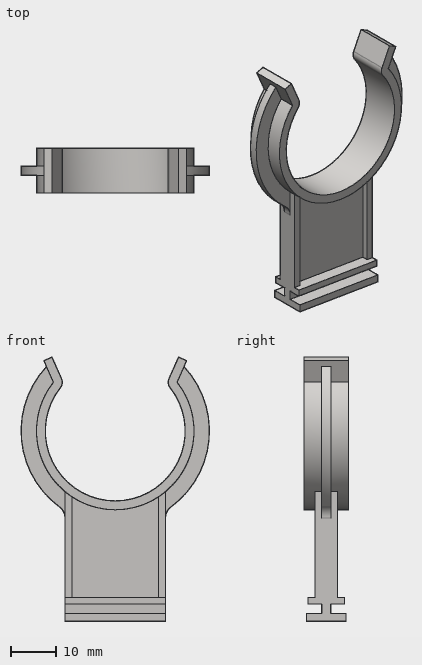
import cadquery as cq
import math

total_height = 58.7
overall_width = 41.85

ring_center_z = 42.25
ring_width = 10.0
ring_outer_radius = 17.5
wall = 2.0
ring_inner_radius = ring_outer_radius - wall

lip_root_x = 13.75
lip_flare = math.radians(24)
lip_root_z = ring_center_z + math.sqrt(ring_outer_radius**2 - lip_root_x**2)

rib_radius = overall_width / 2
rib_thickness = 2.05
rib_fillet = 3.0

stem_width = 22.35
stem_depth = 5.05
flange_thickness = 1.5

foot_depth = 8.85
foot_top = 1.75
collar_depth = 8.15
collar_bottom = 3.8
collar_top = 5.35


def block(width, depth, bottom, top, center_x=0):
    """Box centred on Y, spanning the given heights."""
    middle = (bottom + top) / 2
    return cq.Workplane("XY").box(width, depth, top - bottom).translate((center_x, 0, middle))


def profile(thickness):
    """XZ sketch plane set so that an extrusion is centred on Y."""
    return cq.Workplane("XZ", origin=(0, thickness / 2, 0))


def disc(radius, thickness):
    return profile(thickness).center(0, ring_center_z).circle(radius).extrude(thickness)


def mouth_wedge():
    """Opening bounded below by the ring centre and at the sides by the lips' outer faces."""
    reach_z = 2 * total_height
    reach_x = lip_root_x + (reach_z - lip_root_z) * math.tan(lip_flare)
    points = [
        (0, ring_center_z),
        (lip_root_x, lip_root_z),
        (reach_x, reach_z),
        (-reach_x, reach_z),
        (-lip_root_x, lip_root_z),
    ]
    return profile(ring_width).polyline(points).close().extrude(ring_width)


def right_lip():
    """Flared lip with a corner rounded about its root on the ring's outer face."""
    across_x = -wall * math.cos(lip_flare)
    across_z = wall * math.sin(lip_flare)
    tip_z = total_height - across_z
    tip_x = lip_root_x + (tip_z - lip_root_z) * math.tan(lip_flare)
    inner_scale = ring_inner_radius / ring_outer_radius
    ring_inner_corner = (
        lip_root_x * inner_scale,
        ring_center_z + (lip_root_z - ring_center_z) * inner_scale,
    )
    return (
        profile(ring_width)
        .moveTo(lip_root_x, lip_root_z)
        .lineTo(tip_x, tip_z)
        .lineTo(tip_x + across_x, total_height)
        .lineTo(lip_root_x + across_x, lip_root_z + across_z)
        .threePointArc((lip_root_x - wall, lip_root_z), ring_inner_corner)
        .close()
        .extrude(ring_width)
    )


flange_top = ring_center_z - math.sqrt(ring_outer_radius**2 - (stem_width / 2) ** 2)

blend_z = ring_center_z - math.sqrt(rib_radius**2 - (stem_width / 2) ** 2)
blend_zone = cq.selectors.BoxSelector(
    (-stem_width, -rib_thickness, blend_z - rib_thickness),
    (stem_width, rib_thickness, blend_z + rib_thickness),
)
plate = disc(rib_radius, rib_thickness).union(block(stem_width, rib_thickness, 0, flange_top))
plate = plate.edges("|Y").edges(blend_zone).fillet(rib_fillet)

body = plate.union(disc(ring_outer_radius, ring_width))
body = body.cut(disc(ring_inner_radius, ring_width)).cut(mouth_wedge())

lip = right_lip()
body = body.union(lip).union(lip.mirror("YZ"))

flange_x = (stem_width - flange_thickness) / 2
for side in (-1, 1):
    body = body.union(block(flange_thickness, stem_depth, collar_bottom, flange_top, side * flange_x))

body = body.union(block(stem_width, foot_depth, 0, foot_top))
body = body.union(block(stem_width, collar_depth, collar_bottom, collar_top))

result = body